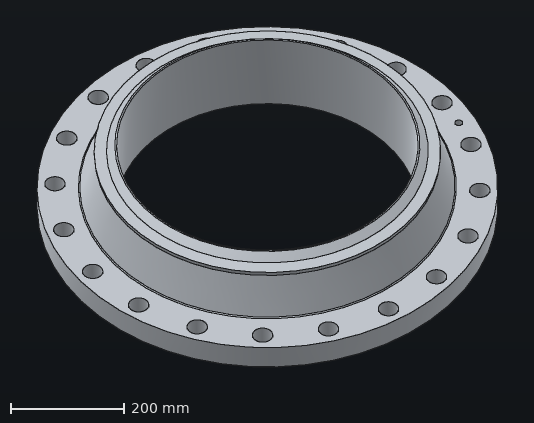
import cadquery as cq
import math

flange_radius = 406.0
raised_face_height = 6.0
raised_face_radius = 355.0
flange_top = 54.0

overall_height = 157.0
bore_radius = 266.0
hub_base_radius = 333.0
hub_foot_radius = 331.0
hub_foot_height = 2.0
hub_neck_radius = 305.0
hub_neck_height = 132.5
lip_radius = 305.5
lip_height = 140.5

bevel_foot_radius = 283.5
bevel_foot_height = 143.0
bevel_top_radius = 269.0

bolt_count = 20
bolt_circle_radius = 375.0
bolt_hole_diameter = 36.0
small_hole_diameter = 14.0
small_hole_depth = 24.0
small_hole_angle = 90 + 180 / bolt_count


def flange_body():
    """Revolve the half section of the flange, hub and weld bevel about Z."""
    section = [
        (bore_radius, 0),
        (raised_face_radius, 0),
        (raised_face_radius, raised_face_height),
        (flange_radius, raised_face_height),
        (flange_radius, flange_top),
        (hub_base_radius, flange_top),
        (hub_foot_radius, flange_top + hub_foot_height),
        (hub_neck_radius, hub_neck_height),
        (lip_radius, lip_height),
        (bevel_foot_radius, bevel_foot_height),
        (bevel_top_radius, overall_height),
        (bore_radius, overall_height),
    ]
    profile = cq.Workplane("XZ").polyline(section).close()
    return profile.revolve(360, (0, 0, 0), (0, 1, 0))


def bolt_holes():
    """Through holes spaced evenly on the bolt circle, one of them on +X."""
    circle = cq.Workplane("XY").polarArray(bolt_circle_radius, 0, 360, bolt_count)
    return circle.circle(bolt_hole_diameter / 2).extrude(flange_top)


def small_hole():
    """Blind hole down from the flange top, midway between two bolt holes beside +Y."""
    angle = math.radians(small_hole_angle)
    x = bolt_circle_radius * math.cos(angle)
    y = bolt_circle_radius * math.sin(angle)
    flange_face = cq.Workplane("XY").workplane(offset=flange_top)
    return flange_face.center(x, y).circle(small_hole_diameter / 2).extrude(-small_hole_depth)


result = flange_body().cut(bolt_holes()).cut(small_hole())